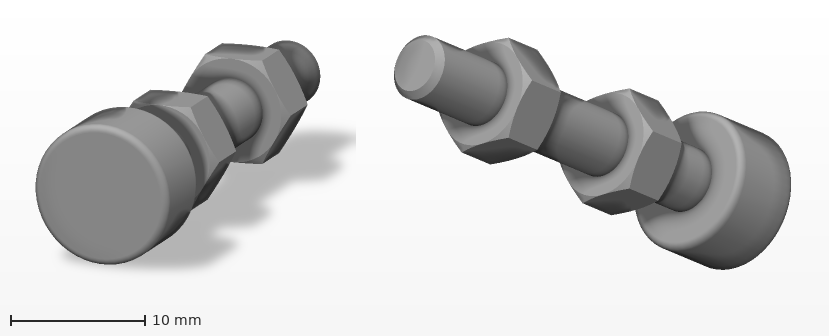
import cadquery as cq
import math

LENGTH = 37.0
HEAD_DIAMETER = 10.8
HEAD_LENGTH = 6.0
HEAD_EDGE_RADIUS = 0.5
SHANK_DIAMETER = 5.0
TIP_CHAMFER = 0.5

NUT_ACROSS_FLATS = 8.0
NUT_ACROSS_CORNERS = NUT_ACROSS_FLATS / math.cos(math.pi / 6)
NUT_THICKNESS = 4.0
NUT_CHAMFER_ANGLE = 30.0
NUT_STARTS = (11.55, 25.35)

HEAD_FACE_Y = -LENGTH / 2


def cylinder(diameter, start, length):
    """Cylinder on the bolt axis, starting at a distance from the head face."""
    plane = cq.Workplane("XZ", origin=(0, HEAD_FACE_Y + start, 0))
    return plane.circle(diameter / 2).extrude(-length)


def make_bolt():
    """Round head with rounded rims and a shank with a chamfered tip."""
    head = cylinder(HEAD_DIAMETER, 0, HEAD_LENGTH).edges("%CIRCLE").fillet(HEAD_EDGE_RADIUS)
    shank = cylinder(SHANK_DIAMETER, HEAD_LENGTH, LENGTH - HEAD_LENGTH)
    shank = shank.faces(">Y").chamfer(TIP_CHAMFER)
    return head.union(shank)


def nut_envelope(start):
    """Turned blank whose conical ends trim the corners of the hexagon."""
    corner_radius = NUT_ACROSS_CORNERS / 2
    face_radius = NUT_ACROSS_FLATS / 2
    drop = (corner_radius - face_radius) * math.tan(math.radians(NUT_CHAMFER_ANGLE))
    near = HEAD_FACE_Y + start
    far = near + NUT_THICKNESS
    profile = [
        (0, near),
        (face_radius, near),
        (corner_radius, near + drop),
        (corner_radius, far - drop),
        (face_radius, far),
        (0, far),
    ]
    return cq.Workplane("XY").polyline(profile).close().revolve(360, (0, 0, 0), (0, 1, 0))


def make_nut(start):
    """Hexagon nut with corners on the X axis, bored to fit the shank."""
    plane = cq.Workplane("XZ", origin=(0, HEAD_FACE_Y + start, 0))
    hexagon = plane.polygon(6, NUT_ACROSS_CORNERS).extrude(-NUT_THICKNESS)
    bore = cylinder(SHANK_DIAMETER, start, NUT_THICKNESS)
    return hexagon.intersect(nut_envelope(start)).cut(bore)


bolt = make_bolt()
nuts = [make_nut(start) for start in NUT_STARTS]

result = cq.Compound.makeCompound([bolt.val(), *[nut.val() for nut in nuts]])